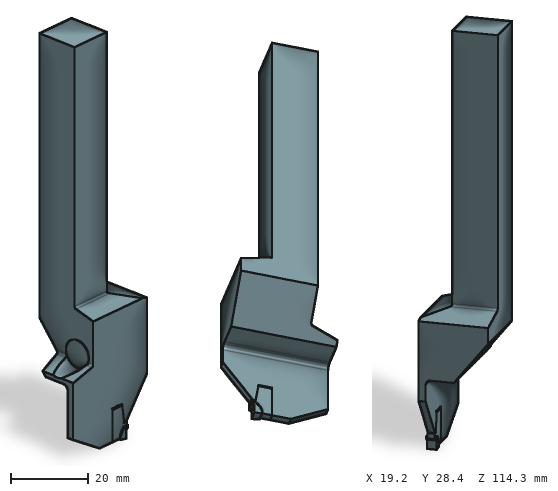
import cadquery as cq
import math

total_height = 114.3
shank_width = 12.3
shank_front_y = 0.0

head_width = 18.9
head_back_y = 20.7
head_front_y = -7.7
shoulder_z = 39.5
front_shoulder_z = 24.9
shoulder_slope = math.tan(math.radians(15))
shoulder_fillet = 0.7
bevel_top_z = 32.9
bevel_end_x = 9.3
head_bottom_z = 21.5

blade_thickness = 2.0
blade_left_x = head_width - blade_thickness
blade_fillet = 1.5
blade_bottom_z = 0.6
blade_back_z = 15.7
blade_tip_y = 12.6
blade_tip_z = 4.6
blade_bottom_front_y = 2.4
blade_front_z = 6.5

access_diameter = 8.0
access_x = 13.3
access_z = 26.6
access_depth = 0.1

insert_front_y = 7.4
insert_back_y = 11.9
pocket_top_back_y = 11.1
pocket_top_z = 10.2
insert_top_chamfer = 0.3
insert_head_overhang = 0.3
rake_lip_y = 13.0
rake_lip_bottom_z = 3.1
rake_face_y = 12.3
rake_face_top_z = 2.5
head_top_z = 3.5
head_heel_y = 10.2
head_heel_bottom_z = 0.3
head_heel_top_z = 1.3
head_arc_mid = (11.0, 2.7)
head_arc_end_y = 11.7


def extrude_along_x(profile, start_x, end_x):
    """Build a prism from a closed (Y, Z) profile between two X positions."""
    return profile.extrude(end_x - start_x).translate((start_x, 0, 0))


def make_side_profile_prism():
    """Front silhouette of shank, head and blade, run through the full depth."""
    shoulder_end_z = shoulder_z - (head_width - shank_width) * shoulder_slope
    outline = [
        (0, total_height),
        (shank_width, total_height),
        (shank_width, shoulder_z),
        (head_width, shoulder_end_z),
        (head_width, blade_bottom_z),
        (blade_left_x, blade_bottom_z),
        (blade_left_x, head_bottom_z),
        (bevel_end_x, head_bottom_z),
        (0, bevel_top_z),
    ]
    prism = cq.Workplane("XZ", origin=(0, head_back_y, 0)).polyline(outline).close()
    prism = prism.extrude(head_back_y - head_front_y)
    middle_y = (head_back_y + head_front_y) / 2
    inside_corners = (
        (shank_width, shoulder_z, shoulder_fillet),
        (blade_left_x, head_bottom_z, blade_fillet),
    )
    for corner_x, corner_z, radius in inside_corners:
        corner = cq.selectors.NearestToPointSelector((corner_x, middle_y, corner_z))
        prism = prism.edges("|Y").edges(corner).fillet(radius)
    return prism


def make_depth_profile_prism():
    """Side silhouette of shank, head and blade, run through the full width."""
    back_shoulder_z = shoulder_z - (head_back_y - shank_width) * shoulder_slope
    front_edge_z = front_shoulder_z + (head_front_y - shank_front_y) * shoulder_slope
    outline = [
        (shank_front_y, total_height),
        (shank_width, total_height),
        (shank_width, shoulder_z),
        (head_back_y, back_shoulder_z),
        (head_back_y, blade_back_z),
        (blade_tip_y, blade_tip_z),
        (insert_back_y, blade_tip_z),
        (insert_back_y, blade_bottom_z),
        (blade_bottom_front_y, blade_bottom_z),
        (head_front_y, blade_front_z),
        (head_front_y, front_edge_z),
        (shank_front_y, front_shoulder_z),
    ]
    prism = extrude_along_x(cq.Workplane("YZ").polyline(outline).close(), 0, head_width)
    inside_corners = (
        (shank_width, shoulder_z, shoulder_fillet),
        (shank_front_y, front_shoulder_z, shoulder_fillet),
    )
    for corner_y, corner_z, radius in inside_corners:
        corner = cq.selectors.NearestToPointSelector((head_width / 2, corner_y, corner_z))
        prism = prism.edges("|X").edges(corner).fillet(radius)
    return prism


def make_access_recess():
    """Round cutter that grooves the front ledge and just marks the shank face."""
    start_y = shank_front_y + access_depth
    recess = cq.Workplane("XZ", origin=(access_x, start_y, access_z)).circle(access_diameter / 2)
    return recess.extrude(start_y - head_front_y)


def make_seat_prism():
    """Pocket space in the blade that seats the insert, including its lip."""
    outline = [
        (insert_front_y, pocket_top_z),
        (pocket_top_back_y, pocket_top_z),
        (insert_back_y, blade_tip_z),
        (rake_lip_y, blade_tip_z),
        (rake_lip_y, rake_lip_bottom_z),
        (rake_face_y, rake_face_top_z),
        (rake_face_y, blade_bottom_z),
        (insert_front_y, blade_bottom_z),
    ]
    return extrude_along_x(cq.Workplane("YZ").polyline(outline).close(), blade_left_x, head_width)


def make_insert(seat):
    """Insert filling the seat, with chamfered top side edges and a wider cutting head."""
    insert_shank = seat.faces(">Z").edges("|Y").chamfer(insert_top_chamfer)
    head_profile = (
        cq.Workplane("YZ")
        .moveTo(head_heel_y, head_heel_bottom_z)
        .lineTo(head_heel_y, head_heel_top_z)
        .threePointArc(head_arc_mid, (head_arc_end_y, head_top_z))
        .lineTo(rake_lip_y, head_top_z)
        .lineTo(rake_lip_y, rake_lip_bottom_z)
        .lineTo(rake_face_y, rake_face_top_z)
        .lineTo(rake_face_y, 0)
        .close()
    )
    cutting_head = extrude_along_x(
        head_profile, blade_left_x - insert_head_overhang, head_width + insert_head_overhang
    )
    return insert_shank.union(cutting_head)


seat = make_seat_prism()
insert = make_insert(seat)
holder = make_side_profile_prism().intersect(make_depth_profile_prism())
holder = holder.cut(make_access_recess()).cut(seat)

result = cq.Compound.makeCompound([holder.val(), insert.val()])